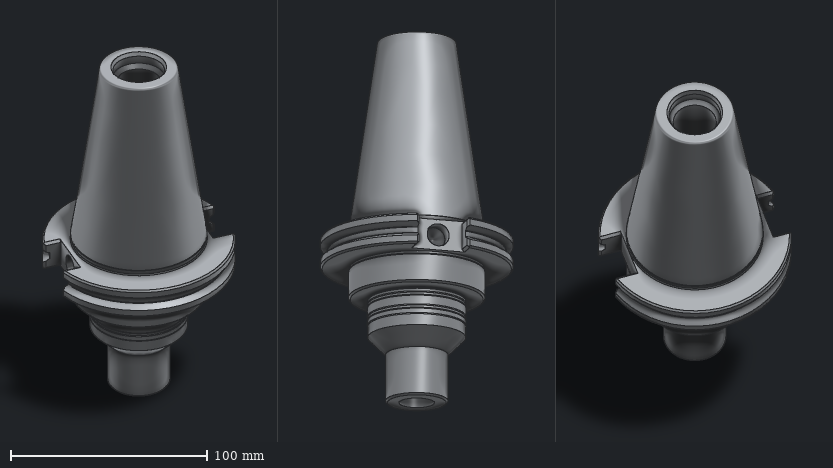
import cadquery as cq
import math

LENGTH = 191.2
GAUGE_Z = 89.7
FLANGE_TOP_Z = 86.8
FLANGE_THICKNESS = 16.0
FLANGE_BOTTOM_Z = FLANGE_TOP_Z - FLANGE_THICKNESS
FLANGE_MID_Z = FLANGE_TOP_Z - FLANGE_THICKNESS / 2
COLLAR_BOTTOM_Z = 54.5
BODY_BOTTOM_Z = 34.5

GAUGE_RADIUS = 69.8 / 2
NECK_RADIUS = 34.5
NECK_FLARE = 0.5
FLANGE_RADIUS = 98.5 / 2
BAND_RADIUS = 50.5 / 2
BODY_RADIUS = 50.0 / 2
NOSE_RADIUS = 32.0 / 2

TAPER_RATIO = 7 / 48
TAPER_ROUND = 1.7
EDGE_CHAMFER = 1.0

GROOVE_FLOOR_RADIUS = 45.5
GROOVE_FLOOR_WIDTH = 3.3
GROOVE_FLANK_ANGLE = 30.0
GROOVE_CORNER_ROUND = 0.4

RELIEF_RADIUS = 34.6
RELIEF_BOTTOM_Z = 69.0

BAND_BOTTOM_Z = 40.7
BAND_TOP_Z = 53.5
RING_MID_HEIGHTS = [44.2, 51.0]
RING_FLOOR_WIDTH = 1.1
STEP_HEIGHT = 0.5

SLOT_WIDTH = 25.5
SLOT_CHAMFER = 1.3
FRONT_SLOT_FLOOR = 37.7
BACK_SLOT_FLOOR = 35.2

DIMPLE_RADIUS = 11.7 / 2
DIMPLE_DEPTH = 7.6
DRILL_POINT_ANGLE = 118.0

MOUTH_RADIUS = 28.3 / 2
MOUTH_DEPTH = 2.1
UPPER_BORE_RADIUS = 26.4 / 2
MIDDLE_BORE_RADIUS = 22.0 / 2
LOWER_BORE_RADIUS = 18.0 / 2
UPPER_BORE_DEPTH = 6.3
MIDDLE_BORE_DEPTH = 38.2


def revolve_profile(points):
    """Turn a closed (radius, height) outline around the Z axis."""
    return cq.Workplane("XZ").polyline(points).close().revolve(360, (0, 0, 0), (0, 1, 0))


def cylinder(radius, bottom, top):
    return cq.Workplane("XY").workplane(offset=bottom).circle(radius).extrude(top - bottom)


def make_shank():
    top_radius = GAUGE_RADIUS - (LENGTH - GAUGE_Z) * TAPER_RATIO
    cone = revolve_profile([
        (0, GAUGE_Z), (GAUGE_RADIUS, GAUGE_Z), (top_radius, LENGTH), (0, LENGTH),
    ]).faces(">Z").edges().fillet(TAPER_ROUND)
    neck = revolve_profile([
        (0, FLANGE_TOP_Z), (NECK_RADIUS + NECK_FLARE, FLANGE_TOP_Z),
        (NECK_RADIUS, FLANGE_TOP_Z + NECK_FLARE), (NECK_RADIUS, GAUGE_Z), (0, GAUGE_Z),
    ])
    return cone.union(neck)


def make_flange():
    disc = cylinder(FLANGE_RADIUS, FLANGE_BOTTOM_Z, FLANGE_TOP_Z).edges().chamfer(EDGE_CHAMFER)
    half_floor = GROOVE_FLOOR_WIDTH / 2
    flank = math.tan(math.radians(GROOVE_FLANK_ANGLE))
    half_mouth = half_floor + (FLANGE_RADIUS - GROOVE_FLOOR_RADIUS) * flank
    groove = revolve_profile([
        (GROOVE_FLOOR_RADIUS, FLANGE_MID_Z - half_floor),
        (FLANGE_RADIUS, FLANGE_MID_Z - half_mouth),
        (FLANGE_RADIUS, FLANGE_MID_Z + half_mouth),
        (GROOVE_FLOOR_RADIUS, FLANGE_MID_Z + half_floor),
    ])
    floor_corners = groove.edges(cq.selectors.RadiusNthSelector(0))
    return disc.cut(floor_corners.fillet(GROOVE_CORNER_ROUND))


def slot_cutter(floor):
    """Slot open to the outside; its walls flare at the faces and at the rim of the flange."""
    half = SLOT_WIDTH / 2
    wide = half + SLOT_CHAMFER
    low, high = FLANGE_BOTTOM_Z, FLANGE_TOP_Z
    outline = [
        (-wide, low), (wide, low), (half, low + SLOT_CHAMFER), (half, high - SLOT_CHAMFER),
        (wide, high), (-wide, high), (-half, high - SLOT_CHAMFER), (-half, low + SLOT_CHAMFER),
    ]
    reach = FLANGE_RADIUS - floor
    slot = cq.Workplane("XZ").workplane(offset=floor).polyline(outline).close().extrude(reach)

    rim = math.sqrt(FLANGE_RADIUS ** 2 - wide ** 2)
    rim_flare = [(-wide, -rim), (wide, -rim), (half, SLOT_CHAMFER - rim), (-half, SLOT_CHAMFER - rim)]
    flare = cq.Workplane("XY").workplane(offset=low).polyline(rim_flare).close().extrude(high - low)
    mouth = (
        cq.Workplane("XY").workplane(offset=low)
        .rect(2 * wide, 2 * FLANGE_RADIUS).extrude(high - low)
        .translate((0, -rim - FLANGE_RADIUS, 0))
    )
    return slot.union(flare).union(mouth)


def make_dimple():
    tip = DIMPLE_RADIUS / math.tan(math.radians(DRILL_POINT_ANGLE / 2))
    outline = [(0, 0), (DIMPLE_RADIUS, 0), (DIMPLE_RADIUS, DIMPLE_DEPTH), (0, DIMPLE_DEPTH + tip)]
    drill = cq.Workplane("XY").polyline(outline).close().revolve(360, (0, 0, 0), (0, 1, 0))
    return drill.translate((0, -FRONT_SLOT_FLOOR, FLANGE_MID_Z))


def make_collar():
    return revolve_profile([
        (0, COLLAR_BOTTOM_Z), (GAUGE_RADIUS - EDGE_CHAMFER, COLLAR_BOTTOM_Z),
        (GAUGE_RADIUS, COLLAR_BOTTOM_Z + EDGE_CHAMFER), (GAUGE_RADIUS, RELIEF_BOTTOM_Z),
        (RELIEF_RADIUS, RELIEF_BOTTOM_Z + STEP_HEIGHT), (RELIEF_RADIUS, FLANGE_BOTTOM_Z),
        (0, FLANGE_BOTTOM_Z),
    ])


def make_ring_groove(mid_height):
    half_floor = RING_FLOOR_WIDTH / 2
    half_mouth = half_floor + STEP_HEIGHT
    return revolve_profile([
        (BODY_RADIUS, mid_height - half_floor), (BAND_RADIUS, mid_height - half_mouth),
        (BAND_RADIUS, mid_height + half_mouth), (BODY_RADIUS, mid_height + half_floor),
    ])


def make_body():
    body = revolve_profile([
        (0, 0), (NOSE_RADIUS - EDGE_CHAMFER, 0), (NOSE_RADIUS, EDGE_CHAMFER),
        (NOSE_RADIUS, BODY_BOTTOM_Z - (BODY_RADIUS - NOSE_RADIUS)), (BODY_RADIUS, BODY_BOTTOM_Z),
        (BODY_RADIUS, BAND_BOTTOM_Z - STEP_HEIGHT), (BAND_RADIUS, BAND_BOTTOM_Z),
        (BAND_RADIUS, BAND_TOP_Z), (BODY_RADIUS, BAND_TOP_Z + STEP_HEIGHT),
        (BODY_RADIUS, COLLAR_BOTTOM_Z), (0, COLLAR_BOTTOM_Z),
    ])
    for mid_height in RING_MID_HEIGHTS:
        body = body.cut(make_ring_groove(mid_height))
    return body


def make_bore():
    upper_end = LENGTH - UPPER_BORE_DEPTH
    middle_end = LENGTH - MIDDLE_BORE_DEPTH
    return revolve_profile([
        (0, 0), (LOWER_BORE_RADIUS, 0),
        (LOWER_BORE_RADIUS, middle_end - (MIDDLE_BORE_RADIUS - LOWER_BORE_RADIUS)),
        (MIDDLE_BORE_RADIUS, middle_end),
        (MIDDLE_BORE_RADIUS, upper_end - (UPPER_BORE_RADIUS - MIDDLE_BORE_RADIUS)),
        (UPPER_BORE_RADIUS, upper_end),
        (UPPER_BORE_RADIUS, LENGTH - MOUTH_DEPTH),
        (MOUTH_RADIUS, LENGTH), (0, LENGTH),
    ])


flange = make_flange()
flange = flange.cut(slot_cutter(FRONT_SLOT_FLOOR))
flange = flange.cut(slot_cutter(BACK_SLOT_FLOOR).rotate((0, 0, 0), (0, 0, 1), 180))

result = make_shank().union(flange).union(make_collar()).union(make_body())
result = result.cut(make_dimple()).cut(make_bore())